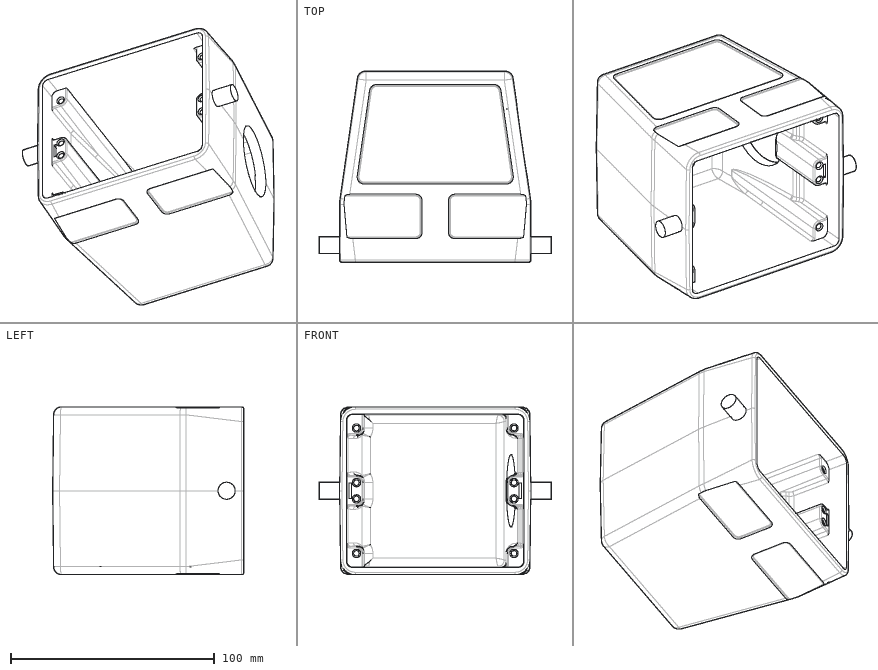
import cadquery as cq
import math

overall_length = 114.0
body_width = 94.0
body_depth = 94.0
body_height = 82.5
half_width = body_width / 2
half_height = body_height / 2
draft_angle = 0.7
draft_run = half_height * math.tan(math.radians(draft_angle))

knee_y = 30.0
side_slope = math.tan(math.radians(8.2))
knee_radius = 20.0
long_edge_radius = 4.0
mouth_corner_radius = 7.5
mouth_blend_end = 28.5
mouth_rim_radius = 1.2

mouth_half_width = 43.7
knee_half_width = 42.9
mouth_half_height = 37.6
floor_half_height = 37.1
floor_y = 90.0
cavity_slope = math.tan(math.radians(7.1))
cavity_corner_radius = 3.0
floor_radius = 4.0
thick_wall_step = 2.0
step_start_y = 30.7
step_end_y = 33.8
step_radius = 4.0

post_front_y = 9.75
screw_x = 38.7
corner_screw_z = 30.8
post_radius = 3.3
post_inner_x = screw_x - post_radius
post_draft_angle = 0.57
post_root_radius = 1.5
post_front_edge_radius = 0.6
center_screw_z = 4.0
screw_mouth_diameter = 4.1
screw_diameter = 2.74
screw_depth = 10.0
notch_half_height = 3.7
notch_inner_x = 41.2
notch_outer_x = 42.4
notch_depth = 4.0

entry_diameter = 35.6
entry_y = 60.5

pin_diameter = 8.4
pin_y = 8.5

panel_depth = 0.7
panel_wall_angle = 45.0
panel_floor_radius = 0.5
label_front_y = 38.5
label_back_y = 87.4
label_front_half_width = 38.9
label_radius = 3.5
grip_front_y = 11.7
grip_back_y = 33.5
grip_inner_x = 6.5
grip_radius = 3.0

overrun = 5.0


def outer_half():
    """Upper half of the outside, drafted upward from the parting plane."""
    back_half_width = half_width - side_slope * (body_depth - knee_y)
    outline = [
        (-half_width, -overrun),
        (half_width, -overrun),
        (half_width, knee_y),
        (back_half_width, body_depth),
        (-back_half_width, body_depth),
        (-half_width, knee_y),
    ]
    half = cq.Workplane("XY").polyline(outline).close().extrude(half_height, taper=draft_angle)
    middle = half_height / 2
    for side in (-1, 1):
        knee = cq.selectors.NearestToPointSelector((side * half_width, knee_y, middle))
        half = half.edges(knee).fillet(knee_radius)
        back = cq.selectors.NearestToPointSelector((side * back_half_width, body_depth, middle))
        half = half.edges(back).fillet(long_edge_radius)
    return half.faces(">Z").edges("not <Y").fillet(long_edge_radius)


def mouth_section(y, radius):
    """Six-sided body section at depth y, its four outer corners rounded."""
    edge_half_width = half_width - draft_run
    points = [
        (half_width, 0),
        (edge_half_width, half_height),
        (-edge_half_width, half_height),
        (-half_width, 0),
        (-edge_half_width, -half_height),
        (edge_half_width, -half_height),
    ]
    wire = cq.Wire.makePolygon([cq.Vector(x, y, z) for x, z in points], close=True)
    corners = [v for v in wire.Vertices() if abs(v.Z) > half_height / 2]
    return wire.fillet2D(radius, corners)


def outer_body():
    """Whole outside; the corner radius widens from the blend line to the mouth."""
    upper = outer_half()
    whole = upper.union(upper.mirror("XY"))
    rear_box = (
        cq.Workplane("XY")
        .box(2 * body_width, body_depth, 2 * body_height, centered=(True, False, True))
        .translate((0, mouth_blend_end, 0))
    )
    mouth = cq.Solid.makeLoft(
        [
            mouth_section(0, mouth_corner_radius),
            mouth_section(mouth_blend_end, long_edge_radius),
        ],
        True,
    )
    body = whole.intersect(rear_box).union(cq.Workplane(mouth))
    return body.faces("<Y").edges().fillet(mouth_rim_radius)


def post(bottom, top):
    """Post with two rounded inner edges, growing slightly toward a curved foot on the floor."""
    outer_x = half_width + overrun
    points = [(post_inner_x, bottom), (outer_x, bottom), (outer_x, top), (post_inner_x, top)]
    outline = cq.Wire.makePolygon([cq.Vector(x, post_front_y, z) for x, z in points], close=True)
    inner_corners = [v for v in outline.Vertices() if v.X < screw_x]
    outline = outline.fillet2D(post_radius, inner_corners)
    front = cq.Workplane("XZ", origin=(0, post_front_y, 0)).add(outline).toPending()
    body = front.extrude(post_front_y - floor_y, taper=-post_draft_angle)
    floor_block = (
        cq.Workplane("XY")
        .box(2 * body_width, overrun, 2 * body_height, centered=(True, False, True))
        .translate((0, floor_y, 0))
    )
    foot = cq.selectors.NearestToPointSelector((post_inner_x, floor_y, (bottom + top) / 2))
    return body.union(floor_block).edges(foot).fillet(floor_radius)


def posts():
    """Corner and center posts on both side walls, concentric with their screw holes."""
    center_top = center_screw_z + post_radius
    corner = post(corner_screw_z - post_radius, half_height + overrun)
    row = post(-center_top, center_top).union(corner).union(corner.mirror("XY"))
    return row.union(row.mirror("YZ"))


def cavity():
    """Inside space: sloping side walls, thicker on +X, with the posts left standing."""
    sloped_half_width = knee_half_width - cavity_slope * (floor_y - knee_y)
    thick_half_width = sloped_half_width - thick_wall_step
    step_end_half_width = thick_half_width + cavity_slope * (floor_y - step_end_y)
    plan = [
        (-mouth_half_width, 0),
        (mouth_half_width, 0),
        (knee_half_width, step_start_y),
        (step_end_half_width, step_end_y),
        (thick_half_width, floor_y),
        (-sloped_half_width, floor_y),
        (-knee_half_width, knee_y),
    ]
    profile = [
        (0, -mouth_half_height),
        (0, mouth_half_height),
        (floor_y, floor_half_height),
        (floor_y, -floor_half_height),
    ]
    room = cq.Workplane("XY").polyline(plan).close().extrude(half_height, both=True)
    height_limit = cq.Workplane("YZ").polyline(profile).close().extrude(body_width, both=True)
    room = room.intersect(height_limit)
    for x, y in ((knee_half_width, step_start_y), (step_end_half_width, step_end_y)):
        step_edge = cq.selectors.NearestToPointSelector((x, y, 0))
        room = room.edges(step_edge).fillet(step_radius)
    for side in (-1, 1):
        for end in (-1, 1):
            corner = cq.selectors.NearestToPointSelector(
                (side * mouth_half_width, knee_y / 2, end * mouth_half_height)
            )
            room = room.edges(corner).fillet(cavity_corner_radius)
    room = room.faces(">Y").edges().fillet(floor_radius).cut(posts())
    return round_post_fronts(round_post_roots(room))


def round_post_roots(room):
    """Round the inside corners where the post sides meet the side walls."""
    center_root_z = center_screw_z + post_radius
    corner_root_z = corner_screw_z - post_radius
    middle_y = (post_front_y + step_start_y) / 2
    roots = []
    for side in (-1, 1):
        for z in (-corner_root_z, -center_root_z, center_root_z, corner_root_z):
            root = cq.selectors.NearestToPointSelector((side * knee_half_width, middle_y, z))
            roots.extend(room.edges(root).vals())
    return room.newObject(roots).fillet(post_root_radius)


def round_post_fronts(room):
    """Round the rim of every post's front face."""
    rims = []
    for side in (-1, 1):
        for x, z in (
            (screw_x, post_radius - corner_screw_z),
            (post_inner_x, 0),
            (screw_x, corner_screw_z - post_radius),
        ):
            rim = cq.selectors.NearestToPointSelector((side * x, post_front_y, z))
            rims.extend(room.edges(rim).vals())
    return room.newObject(rims).fillet(post_front_edge_radius)


def screw_hole(x, z):
    """Countersunk blind hole into the front of a post."""
    chamfer = (screw_mouth_diameter - screw_diameter) / 2
    profile = [
        (0, 0),
        (screw_mouth_diameter / 2, 0),
        (screw_diameter / 2, chamfer),
        (screw_diameter / 2, screw_depth),
        (0, screw_depth),
    ]
    hole = cq.Workplane("XY").polyline(profile).close().revolve(360, (0, 0), (0, 1))
    return hole.translate((x, post_front_y, z))


def post_notch(side):
    """Narrow slot in the front of a center post, beside the side wall."""
    width = notch_outer_x - notch_inner_x
    notch = cq.Workplane("XY").box(
        width, notch_depth, 2 * notch_half_height, centered=(True, False, True)
    )
    return notch.translate((side * (notch_inner_x + width / 2), post_front_y, 0))


def cable_entry():
    """Round opening through the thick +X wall."""
    entry_x = half_width - side_slope * (entry_y - knee_y)
    start = cq.Vector(entry_x, entry_y, 0)
    outward = cq.Vector(1, side_slope, 0).normalized()
    reach = 2 * overrun
    return cq.Workplane(
        cq.Solid.makeCylinder(entry_diameter / 2, 2 * reach, start - outward * reach, outward)
    )


def pin(side):
    """Locking pin, rooted halfway into the side wall."""
    root_x = (half_width + mouth_half_width) / 2
    length = overall_length / 2 - root_x
    direction = cq.Vector(side, 0, 0)
    return cq.Workplane(
        cq.Solid.makeCylinder(pin_diameter / 2, length, cq.Vector(side * root_x, pin_y, 0), direction)
    )


def panel_cutter(points, radius):
    """Rounded shallow recess narrowing inward from the +Z face."""
    block = cq.Workplane("XY").polyline(points).close().extrude(panel_depth)
    block = block.edges("|Z").fillet(radius)
    outline = block.faces("<Z").wires().val()
    recess = cq.Workplane("XY").add(outline).toPending().extrude(-panel_depth, taper=panel_wall_angle)
    recess = recess.faces("<Z").edges().fillet(panel_floor_radius)
    return recess.union(block).translate((0, 0, half_height))


def label_panel():
    """Trapezoid recess with sides parallel to the body sides."""
    back = label_front_half_width - side_slope * (label_back_y - label_front_y)
    points = [
        (-label_front_half_width, label_front_y),
        (label_front_half_width, label_front_y),
        (back, label_back_y),
        (-back, label_back_y),
    ]
    return panel_cutter(points, label_radius)


def grip_panel(side):
    """Recess that runs out through the rounded side edge."""
    inner_x = side * grip_inner_x
    outer_x = side * (half_width + overrun)
    points = [
        (inner_x, grip_front_y),
        (outer_x, grip_front_y),
        (outer_x, grip_back_y),
        (inner_x, grip_back_y),
    ]
    return panel_cutter(points, grip_radius)


def screw_holes(side):
    holes = cq.Workplane("XY")
    for z in (-corner_screw_z, -center_screw_z, center_screw_z, corner_screw_z):
        holes = holes.add(screw_hole(side * screw_x, z))
    return holes.combine()


result = outer_body().cut(cavity()).cut(cable_entry()).cut(label_panel())
for side in (-1, 1):
    panel = grip_panel(side)
    result = result.cut(panel).cut(panel.mirror("XY"))
    result = result.cut(post_notch(side)).cut(screw_holes(side)).union(pin(side))